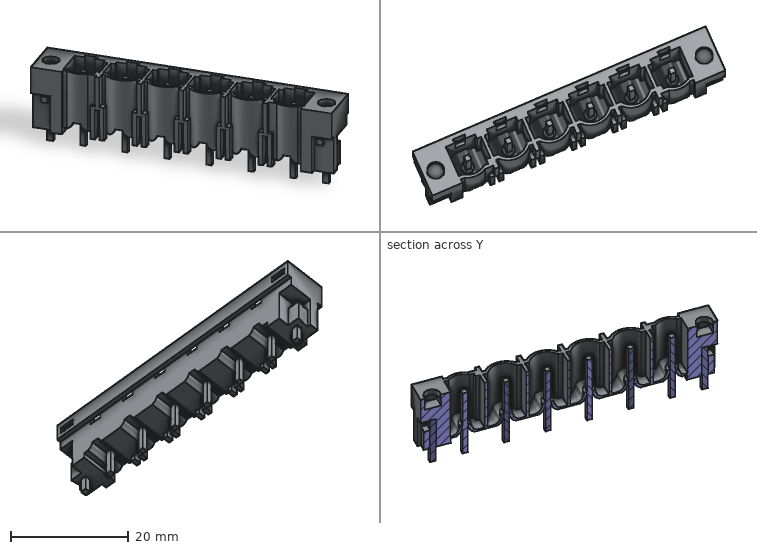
import cadquery as cq
import math


LENGTH = 54.6
HEIGHT = 11.8
BODY_DEPTH = 7.6
LIP_DEPTH = 8.4
LIP_BOTTOM = 8.25
TAIL_LENGTH = 3.15

POLES = 6
PITCH = 7.62
AXIS_Y = 3.8
POLE_X = [(i - (POLES - 1) / 2) * PITCH for i in range(POLES)]
RIB_X = [(i - (POLES - 2) / 2) * PITCH for i in range(POLES - 1)]

BLOCK_WIDTH = 5.6
BLOCK_INNER_X = LENGTH / 2 - BLOCK_WIDTH
FLANGE_INSET = 2.3
FLANGE_X = LENGTH / 2 - FLANGE_INSET

CELL_BOTTOM = 1.1
WALL_FRONT = 1.35
END_WALL_FRONT = 0.65
CELL_OUTER_R = 4.0
CELL_OUTER_Y = 4.15
CELL_INNER_R = 3.15
CAVITY_HALF = 2.75
CAVITY_BACK = 6.9
END_CAVITY_FRONT = 1.3
POCKET_HALF = 3.5
POCKET_FRONT = 2.15
POCKET_BACK = 6.05

FLOOR_THICKNESS = 0.65
NOTCH_HALF = 0.65
NOTCH_R = 1.9
NOTCH_ARC_X = 2.5
NOTCH_ARC_Z = 2.85
NOTCH_TOP = NOTCH_ARC_Z - math.sqrt(NOTCH_R**2 - (NOTCH_ARC_X - NOTCH_HALF) ** 2)
FLOOR_R = NOTCH_R - FLOOR_THICKNESS
FLOOR_LOW = NOTCH_ARC_Z - FLOOR_R
FLOOR_CREST = NOTCH_TOP + FLOOR_THICKNESS
BOSS_R = 1.1
BOSS_HEIGHT = 0.45
BOSS_TOP = FLOOR_CREST + BOSS_HEIGHT

DOVETAIL_BACK_HALF = 1.15
DOVETAIL_FRONT_HALF = 0.95
DOVETAIL_BOTTOM = 7.35

RIB_WIDTH = 0.8
FORK_WIDTH = 2.45
FORK_TOP = 6.2
FORK_SLOT_TOP = 5.55

SCREW_R = 1.5
SCREW_DEPTH = 1.25
NUT_SLOT_HEIGHT = 1.25

FRONT_RECESS_WIDTH = 3.55
FRONT_RECESS_DEPTH = 1.05
FRONT_RECESS_TOP = 6.9
SIDE_RECESS_FRONT = 2.85

CLAMP_TOP = 4.25
CLAMP_BACK = 5.35
CLAMP_BEND = 3.65
CLAMP_FRONT_INSET = 0.65
CLAMP_BACK_INSET = 0.4

PIN_SIZE = 1.0
PIN_TOP = 10.7
ANCHOR_WIDTH = 1.1
ANCHOR_LEG = 1.0
ANCHOR_TOP = 6.4
ANCHOR_ARM = 1.1
ANCHOR_TIP = 0.4
SIDE_RECESS_DEPTH = FLANGE_INSET + ANCHOR_WIDTH / 2


def block(x0, x1, y0, y1, z0, z1):
    """Box between two opposite corners."""
    return cq.Workplane("XY").box(x1 - x0, y1 - y0, z1 - z0, centered=False).translate((x0, y0, z0))


def post(x, y, radius, z0, z1):
    """Vertical cylinder."""
    return cq.Workplane("XY", origin=(x, y, z0)).circle(radius).extrude(z1 - z0)


def both_ends(shape):
    """Left-end feature together with its mirror image at the right end."""
    return shape.union(shape.mirror("YZ"))


def arc_point(cx, cz, radius, angle):
    """Point on a circle in the XZ plane, angle in degrees from +X."""
    return cx + radius * math.cos(math.radians(angle)), cz + radius * math.sin(math.radians(angle))


def front_profile(x):
    """Sketch plane facing the front; X and Z local to a pole, extruding toward the back."""
    return cq.Workplane("XZ", origin=(x, 0, 0))


def make_pin(x):
    half = PIN_SIZE / 2
    return block(x - half, x + half, AXIS_Y - half, AXIS_Y + half, -TAIL_LENGTH, PIN_TOP)


def make_anchor(x):
    """L-shaped anchor: a leg down through the board and an arm to the front."""
    leg_front = AXIS_Y - ANCHOR_LEG / 2
    leg_back = AXIS_Y + ANCHOR_LEG / 2
    left = x - ANCHOR_WIDTH / 2
    right = x + ANCHOR_WIDTH / 2
    leg = block(left, right, leg_front, leg_back, -TAIL_LENGTH, ANCHOR_TOP)
    arm = block(left, right, ANCHOR_TIP, leg_back, ANCHOR_TOP - ANCHOR_ARM, ANCHOR_TOP)
    return leg.union(arm)


def make_shell():
    """Solid outer form: cell row, end blocks, back lip and bulging cell fronts."""
    end = LENGTH / 2
    shell = block(-end, end, WALL_FRONT, BODY_DEPTH, CELL_BOTTOM, HEIGHT)
    shell = shell.union(block(-end, end, WALL_FRONT, LIP_DEPTH, LIP_BOTTOM, HEIGHT))
    shell = shell.union(both_ends(block(-end, -BLOCK_INNER_X, 0, BODY_DEPTH, 0, HEIGHT)))
    end_wall_stop = RIB_X[0] - RIB_WIDTH / 2
    end_wall = block(-BLOCK_INNER_X, end_wall_stop, END_WALL_FRONT, AXIS_Y, CELL_BOTTOM, HEIGHT)
    shell = shell.union(both_ends(end_wall))
    front_half = block(-end, end, 0, CELL_OUTER_Y, CELL_BOTTOM, HEIGHT)
    for x in POLE_X:
        bulge = post(x, CELL_OUTER_Y, CELL_OUTER_R, CELL_BOTTOM, HEIGHT)
        shell = shell.union(bulge.intersect(front_half))
    return shell


def make_rib(x):
    """Front rib that forks into two legs standing on the board."""
    bar = block(x - RIB_WIDTH / 2, x + RIB_WIDTH / 2, 0, WALL_FRONT, FORK_SLOT_TOP, HEIGHT)
    fork = block(x - FORK_WIDTH / 2, x + FORK_WIDTH / 2, 0, WALL_FRONT, 0, FORK_TOP)
    slot = block(x - RIB_WIDTH / 2, x + RIB_WIDTH / 2, 0, WALL_FRONT, 0, FORK_SLOT_TOP)
    return fork.cut(slot).union(bar)


def make_notch(x):
    """Flared notch under a cell, running from front to back."""
    start_angle = math.degrees(math.acos((NOTCH_ARC_X - NOTCH_HALF) / NOTCH_R))
    bottom_angle = math.degrees(math.asin((NOTCH_ARC_Z - CELL_BOTTOM) / NOTCH_R))
    mid_angle = (start_angle + bottom_angle) / 2
    mid_x, mid_z = arc_point(-NOTCH_ARC_X, NOTCH_ARC_Z, NOTCH_R, -mid_angle)
    low_x = arc_point(-NOTCH_ARC_X, NOTCH_ARC_Z, NOTCH_R, -bottom_angle)[0]
    return (
        front_profile(x)
        .moveTo(low_x, CELL_BOTTOM)
        .threePointArc((mid_x, mid_z), (-NOTCH_HALF, NOTCH_TOP))
        .lineTo(NOTCH_HALF, NOTCH_TOP)
        .threePointArc((-mid_x, mid_z), (-low_x, CELL_BOTTOM))
        .close()
        .extrude(-BODY_DEPTH)
    )


def make_floor_hump(x):
    """Raised cell floor that follows the notch at constant thickness."""
    slope = math.degrees(math.acos((NOTCH_ARC_X - NOTCH_HALF) / NOTCH_R))
    foot_mid = arc_point(-NOTCH_ARC_X, NOTCH_ARC_Z, FLOOR_R, -(90 + slope) / 2)
    joint = arc_point(-NOTCH_ARC_X, NOTCH_ARC_Z, FLOOR_R, -slope)
    shoulder_mid = arc_point(-NOTCH_HALF, NOTCH_TOP, FLOOR_THICKNESS, 90 + (90 - slope) / 2)
    return (
        front_profile(x)
        .moveTo(-NOTCH_ARC_X, FLOOR_LOW)
        .threePointArc(foot_mid, joint)
        .threePointArc(shoulder_mid, (-NOTCH_HALF, FLOOR_CREST))
        .lineTo(NOTCH_HALF, FLOOR_CREST)
        .threePointArc((-shoulder_mid[0], shoulder_mid[1]), (-joint[0], joint[1]))
        .threePointArc((-foot_mid[0], foot_mid[1]), (NOTCH_ARC_X, FLOOR_LOW))
        .close()
        .extrude(-CAVITY_BACK)
    )


def make_cavity(index):
    """Space inside one cell, above its curved floor and the boss around the pin."""
    x = POLE_X[index]
    is_first = index == 0
    is_last = index == POLES - 1
    left = CAVITY_HALF if is_first else POCKET_HALF
    right = CAVITY_HALF if is_last else POCKET_HALF
    front = END_CAVITY_FRONT if is_first or is_last else AXIS_Y
    cavity = post(x, AXIS_Y, CELL_INNER_R, FLOOR_LOW, HEIGHT)
    cavity = cavity.intersect(block(x - CAVITY_HALF, x + CAVITY_HALF, 0, AXIS_Y, FLOOR_LOW, HEIGHT))
    cavity = cavity.union(block(x - CAVITY_HALF, x + CAVITY_HALF, front, CAVITY_BACK, FLOOR_LOW, HEIGHT))
    cavity = cavity.union(block(x - left, x + right, POCKET_FRONT, POCKET_BACK, FLOOR_LOW, HEIGHT))
    cavity = cavity.cut(make_floor_hump(x))
    return cavity.cut(post(x, AXIS_Y, BOSS_R, FLOOR_LOW, BOSS_TOP))


def make_dovetail(x):
    """Vertical slot in the back wall, open to the back below the lip."""
    return (
        cq.Workplane("XY", origin=(x, 0, DOVETAIL_BOTTOM))
        .moveTo(-DOVETAIL_FRONT_HALF, CAVITY_BACK)
        .lineTo(DOVETAIL_FRONT_HALF, CAVITY_BACK)
        .lineTo(DOVETAIL_BACK_HALF, BODY_DEPTH)
        .lineTo(-DOVETAIL_BACK_HALF, BODY_DEPTH)
        .close()
        .extrude(HEIGHT - DOVETAIL_BOTTOM)
    )


def make_end_cuts():
    """Screw hole, nut slot and recesses of the left end block."""
    left = -LENGTH / 2
    screw_bottom = HEIGHT - SCREW_DEPTH
    cuts = post(-FLANGE_X, AXIS_Y, SCREW_R, screw_bottom, HEIGHT)
    nut_slot = block(
        -FLANGE_X - SCREW_R, -FLANGE_X + SCREW_R, AXIS_Y - SCREW_R, LIP_DEPTH,
        screw_bottom - NUT_SLOT_HEIGHT, screw_bottom,
    )
    front_recess = block(left, left + FRONT_RECESS_WIDTH, 0, FRONT_RECESS_DEPTH, 0, FRONT_RECESS_TOP)
    side_recess = block(left, left + SIDE_RECESS_DEPTH, SIDE_RECESS_FRONT, BODY_DEPTH, 0, ANCHOR_TOP)
    return cuts.union(nut_slot).union(front_recess).union(side_recess)


def make_clamp():
    """Block around the anchor leg in the left side recess."""
    left = -LENGTH / 2
    inner = left + SIDE_RECESS_DEPTH
    return (
        cq.Workplane("XY")
        .moveTo(inner, SIDE_RECESS_FRONT)
        .lineTo(left + CLAMP_FRONT_INSET, SIDE_RECESS_FRONT)
        .lineTo(left + CLAMP_FRONT_INSET, CLAMP_BEND)
        .lineTo(left + CLAMP_BACK_INSET, CLAMP_BACK)
        .lineTo(inner, CLAMP_BACK)
        .close()
        .extrude(CLAMP_TOP)
    )


def make_housing(metal_parts):
    housing = make_shell()
    for x in RIB_X:
        housing = housing.union(make_rib(x))
    for index, x in enumerate(POLE_X):
        housing = housing.cut(make_cavity(index))
        housing = housing.cut(make_notch(x))
        housing = housing.cut(make_dovetail(x))
    housing = housing.cut(both_ends(make_end_cuts()))
    housing = housing.union(both_ends(make_clamp()))
    for metal in metal_parts:
        housing = housing.cut(metal)
    return housing


pins = [make_pin(x) for x in POLE_X]
anchors = [make_anchor(x) for x in (-FLANGE_X, FLANGE_X)]
housing = make_housing(pins + anchors)

result = cq.Compound.makeCompound(
    [
        housing.solids().val(),
        *[pin.solids().val() for pin in pins],
        *[anchor.solids().val() for anchor in anchors],
    ]
)